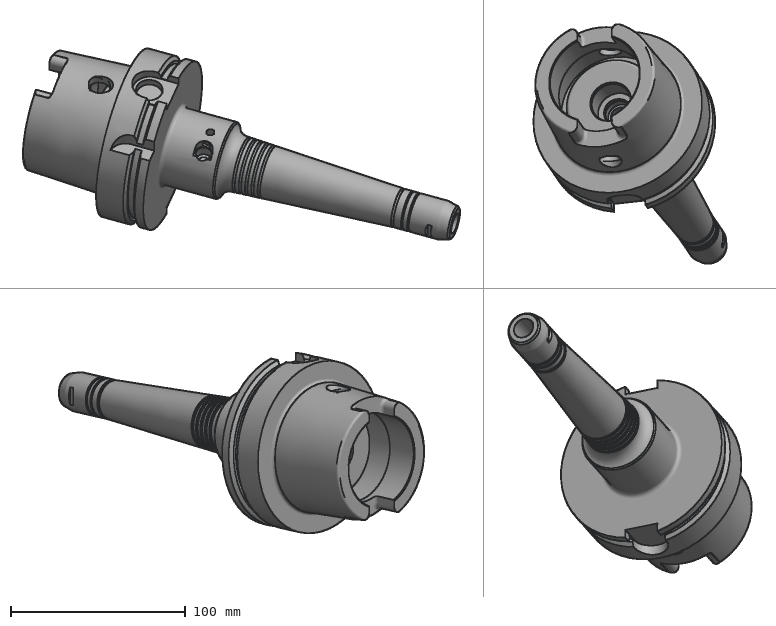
import cadquery as cq
import math


length = 250.0
flange_start = 50.0
taper_small_radius = 35.5
taper_large_radius = 38.0
taper_lip = 1.5
root_fillet = 1.8

mouth_radius = 26.5
mouth_chamfer = 0.5
mouth_depth = 19.5
undercut_radius = 31.5
undercut_angle = 60.0
undercut_end = 43.5

core_start = 34.5
core_rounding = 2.2

slot_half_width = 10.2
slot_corner_radius = 2.0
slot_edge_radius = 3.8
upper_slot_depth = 10.2
lower_slot_depth = 15.2

access_diameter = 12.5
access_center = 34.2
access_entry = 35.2
access_tilt = 30.0
access_slant = 4.0

flange_radius = 50.0
flange_end = 78.8
groove_center = 70.0
groove_mouth_width = 7.0
groove_floor_width = 4.0
groove_shoulder_radius = 47.5
groove_floor_radius = 45.8
keyway_radius = 10.0
keyway_center = flange_start + 14.8
keyway_floor = 44.0
pocket_diameter = 15.2
pocket_center = flange_start + 14.5
pocket_depth = 4.2
notch_wall = 31.2
notch_floor = 31.0

collar_radius = 45.8 / 2
collar_end = 112.0
collar_chamfer = 0.8
collar_fillet = 2.5
neck_radius = 16.5
neck_start = 119.5
neck_fillet = 7.5

screw_position = 102.0
recess_width = 10.5
recess_center = -12.5
recess_floor = 16.5
screw_diameter = 9.0
screw_depth = 6.0
socket_diameter = 5.0
socket_depth = 1.5
side_hole_diameter = 4.5
side_hole_height = 18.8
side_hole_depth = 1.5
vent_center = -1.12
vent_diameter = 4.5
vent_floor = 17.5
vent_tip_diameter = 2.3
vent_tip_depth = 2.5

nose_start = 216.2
nose_radius = 23.0 / 2
tip_start = 242.8
tip_edge_radius = 10.0
tip_edge_start = 249.0
tip_face_radius = 9.0
neck_groove_start = 120.8
neck_groove_pitch = 3.8
neck_groove_count = 5
neck_groove_width = 1.5
mark_grooves = [(215.2, 1.5), (221.2, 1.0), (225.0, 1.0)]
fine_groove_depth = 0.2
flat_distance = 10.2
flat_start = 237.2
flat_end = 239.5
flat_ramp = 1.2

feed_steps = [(24.0, 1.5), (23.0, 15.0), (16.0, 17.5), (15.2, 22.5), (12.0, 30.0)]
channel_diameter = 5.0
drill_half_angle = 59.0
clamp_diameter = 12.0
clamp_depth = 45.0


def turned(outline):
    """Revolve a closed (x, radius) outline about the X axis."""
    return outline.close().revolve(360, (0, 0, 0), (1, 0, 0))


def ring_groove(start, width, floor_radius, rim_radius):
    """Square groove cutter between two radii."""
    return turned(
        cq.Workplane("XY")
        .moveTo(start, floor_radius)
        .lineTo(start + width, floor_radius)
        .lineTo(start + width, rim_radius)
        .lineTo(start, rim_radius)
    )


def drill_down(x, y, floor, diameter):
    """Vertical hole cutter from a floor height upwards."""
    return cq.Workplane("XY", origin=(x, y, floor)).circle(diameter / 2).extrude(flange_radius)


def solid_taper():
    """Solid taper from the open end to the flange face."""
    return turned(
        cq.Workplane("XY")
        .moveTo(0, 0)
        .lineTo(0, taper_small_radius)
        .lineTo(flange_start, taper_large_radius)
        .lineTo(flange_start, 0)
    )


def lip_cutter():
    """Ring that rounds the outer edge of the open end."""
    slope = (taper_large_radius - taper_small_radius) / flange_start
    return turned(
        cq.Workplane("XY")
        .moveTo(0, taper_small_radius - taper_lip)
        .radiusArc((taper_lip, taper_small_radius + slope * taper_lip), taper_lip)
        .lineTo(taper_lip, flange_radius)
        .lineTo(0, flange_radius)
    )


def drive_slot(depth, side):
    """Slot cutter across the wall on the +Z (side 1) or -Z (side -1) half."""
    arc_center_y = slot_half_width + slot_edge_radius
    arc_center_radius = taper_small_radius - slot_edge_radius
    arc_center_z = math.sqrt(arc_center_radius**2 - arc_center_y**2)
    scale = taper_small_radius / arc_center_radius
    arc_end = (arc_center_y * scale, arc_center_z * scale)
    cutter = (
        cq.Workplane("YZ")
        .moveTo(-slot_half_width, 0)
        .lineTo(slot_half_width, 0)
        .lineTo(slot_half_width, arc_center_z)
        .radiusArc(arc_end, slot_edge_radius)
        .lineTo(arc_end[0], flange_radius)
        .lineTo(-arc_end[0], flange_radius)
        .lineTo(-arc_end[0], arc_end[1])
        .radiusArc((-slot_half_width, arc_center_z), slot_edge_radius)
        .close()
        .extrude(depth)
        .faces(">X")
        .edges()
        .fillet(slot_corner_radius)
    )
    return cutter if side > 0 else cutter.mirror("XY")


def access_hole(side):
    """Hole through the shank wall with a mouth that leans towards the flange."""
    tilt = math.radians(access_tilt)
    outward = cq.Vector(math.sin(tilt), 0, side * math.cos(tilt))
    mouth_point = cq.Vector(access_entry, 0, side * taper_large_radius)
    start = mouth_point - outward * access_slant
    mouth = cq.Solid.makeCylinder(access_diameter / 2, flange_radius, start, outward)
    hole = drill_down(access_center, 0, 0, access_diameter)
    if side < 0:
        hole = hole.mirror("XY")
    return hole.union(cq.Workplane("XY").add(mouth))


def cavity():
    """Clamping cavity: straight mouth, flare and undercut."""
    flare = (undercut_radius - mouth_radius) / math.tan(math.radians(undercut_angle))
    return turned(
        cq.Workplane("XY")
        .moveTo(0, 0)
        .lineTo(0, mouth_radius + mouth_chamfer)
        .lineTo(mouth_chamfer, mouth_radius)
        .lineTo(mouth_depth, mouth_radius)
        .lineTo(mouth_depth + flare, undercut_radius)
        .lineTo(undercut_end, undercut_radius)
        .lineTo(undercut_end, 0)
    )


def core():
    """Central core that forms the cavity floor."""
    plug = turned(
        cq.Workplane("XY")
        .moveTo(core_start, 0)
        .lineTo(core_start, mouth_radius)
        .lineTo(flange_start, mouth_radius)
        .lineTo(flange_start, 0)
    )
    return plug.faces("<X").edges().fillet(core_rounding)


def root_ring():
    """Concave rounding where the taper meets the flange face."""
    return turned(
        cq.Workplane("XY")
        .moveTo(flange_start - root_fillet, mouth_radius)
        .lineTo(flange_start - root_fillet, taper_large_radius)
        .radiusArc((flange_start, taper_large_radius + root_fillet), -root_fillet)
        .lineTo(flange_start, mouth_radius)
    )


def shank():
    """Hollow taper with two drive slots and two access holes."""
    body = solid_taper()
    body = body.cut(drive_slot(upper_slot_depth, 1))
    body = body.cut(drive_slot(lower_slot_depth, -1))
    body = body.cut(lip_cutter())
    body = body.cut(cavity())
    for side in (1, -1):
        body = body.cut(access_hole(side))
    return body.union(core()).union(root_ring())


def round_ended_slot(x, y, floor):
    """Keyway cutter from a round end at x, open towards +X, standing on a floor height."""
    run = flange_end - x
    straight = cq.Workplane("XY").box(run, 2 * keyway_radius, flange_radius, centered=(False, True, False))
    return straight.translate((x, y, floor)).union(drill_down(x, y, floor, 2 * keyway_radius))


def flange():
    """Grooved flange with two keyways, a blind pocket and an orientation notch."""
    half_mouth = groove_mouth_width / 2
    half_floor = groove_floor_width / 2
    body = turned(
        cq.Workplane("XY")
        .moveTo(flange_start, 0)
        .lineTo(flange_start, flange_radius)
        .lineTo(groove_center - half_mouth, flange_radius)
        .lineTo(groove_center - half_floor, groove_shoulder_radius)
        .lineTo(groove_center - half_floor, groove_floor_radius)
        .lineTo(groove_center + half_floor, groove_floor_radius)
        .lineTo(groove_center + half_floor, groove_shoulder_radius)
        .lineTo(groove_center + half_mouth, flange_radius)
        .lineTo(flange_end, flange_radius)
        .lineTo(flange_end, 0)
    )
    keyway = round_ended_slot(keyway_center, 0, keyway_floor)
    notch = round_ended_slot(keyway_center, -notch_wall - keyway_radius, notch_floor)
    pocket = drill_down(pocket_center, 0, keyway_floor - pocket_depth, pocket_diameter)
    return body.cut(keyway).cut(keyway.mirror("XY")).cut(notch).cut(pocket)


def front_end():
    """Collar, concave neck, slim conical nose and tapered tip."""
    neck_center_radius = neck_radius + neck_fillet
    collar_edge = collar_radius - collar_chamfer
    neck_arc_start = neck_start - math.sqrt(neck_fillet**2 - (neck_center_radius - collar_edge) ** 2)
    body = turned(
        cq.Workplane("XY")
        .moveTo(flange_start, 0)
        .lineTo(flange_start, collar_radius + collar_fillet)
        .lineTo(flange_end, collar_radius + collar_fillet)
        .radiusArc((flange_end + collar_fillet, collar_radius), -collar_fillet)
        .lineTo(collar_end - collar_chamfer, collar_radius)
        .lineTo(neck_arc_start, collar_edge)
        .radiusArc((neck_start, neck_radius), -neck_fillet)
        .lineTo(nose_start, nose_radius)
        .lineTo(tip_start, nose_radius)
        .lineTo(tip_edge_start, tip_edge_radius)
        .lineTo(length, tip_face_radius)
        .lineTo(length, 0)
    )
    slope = (neck_radius - nose_radius) / (nose_start - neck_start)
    for index in range(neck_groove_count):
        start = neck_groove_start + index * neck_groove_pitch
        surface = neck_radius - slope * (start - neck_start)
        body = body.cut(ring_groove(start, neck_groove_width, surface - fine_groove_depth, collar_radius))
    for start, width in mark_grooves:
        body = body.cut(ring_groove(start, width, nose_radius - fine_groove_depth, collar_radius))
    return body


def wrench_flat():
    """Cutter for the flat on the -Y side of the tip, with a ramp on its inner end."""
    rim = 2 * flat_distance
    return (
        cq.Workplane("XY", origin=(0, 0, -rim))
        .moveTo(flat_start, -flat_distance)
        .lineTo(flat_end, -flat_distance)
        .lineTo(flat_end, -rim)
        .lineTo(flat_start - flat_ramp, -rim)
        .lineTo(flat_start - flat_ramp, -nose_radius)
        .close()
        .extrude(2 * rim)
    )


def screw_recess():
    """Flat-floored recess open towards -Y, with the screw hole, its socket and a side hole."""
    recess = (
        cq.Workplane("XY", origin=(screw_position, recess_center - collar_radius / 2, recess_floor))
        .rect(recess_width, collar_radius)
        .extrude(collar_radius)
        .union(drill_down(screw_position, recess_center, recess_floor, recess_width))
    )
    screw_floor = recess_floor - screw_depth
    screw = drill_down(screw_position, recess_center, screw_floor, screw_diameter)
    socket_tip = cq.Vector(screw_position, recess_center, screw_floor - socket_depth)
    socket = cq.Workplane("XY").add(cq.Solid.makeCone(0, socket_diameter / 2, socket_depth, socket_tip))
    side_hole_end = recess_center + recess_width / 2 + side_hole_depth
    side_hole = (
        cq.Workplane("XZ", origin=(screw_position, side_hole_end, side_hole_height))
        .circle(side_hole_diameter / 2)
        .extrude(collar_radius)
    )
    return recess.union(screw).union(socket).union(side_hole)


def vent():
    """Small stepped hole beside the screw recess."""
    hole = drill_down(screw_position, vent_center, vent_floor, vent_diameter)
    return hole.union(drill_down(screw_position, vent_center, vent_floor - vent_tip_depth, vent_tip_diameter))


def axial_bore():
    """Stepped bore from the core, a narrow channel and the tool bore in the tip."""
    channel_radius = channel_diameter / 2
    outline = cq.Workplane("XY").moveTo(core_start, 0)
    depth = 0
    for diameter, step_end in feed_steps:
        outline = outline.lineTo(core_start + depth, diameter / 2)
        outline = outline.lineTo(core_start + step_end, diameter / 2)
        depth = step_end
        feed_radius = diameter / 2
    cone = (feed_radius - channel_radius) / math.tan(math.radians(drill_half_angle))
    return turned(
        outline
        .lineTo(core_start + depth + cone, channel_radius)
        .lineTo(length - clamp_depth, channel_radius)
        .lineTo(length - clamp_depth, clamp_diameter / 2)
        .lineTo(length, clamp_diameter / 2)
        .lineTo(length, 0)
    )


result = shank().union(flange()).union(front_end())
result = result.cut(wrench_flat()).cut(wrench_flat().mirror("XZ"))
result = result.cut(screw_recess()).cut(vent())
result = result.cut(axial_bore())